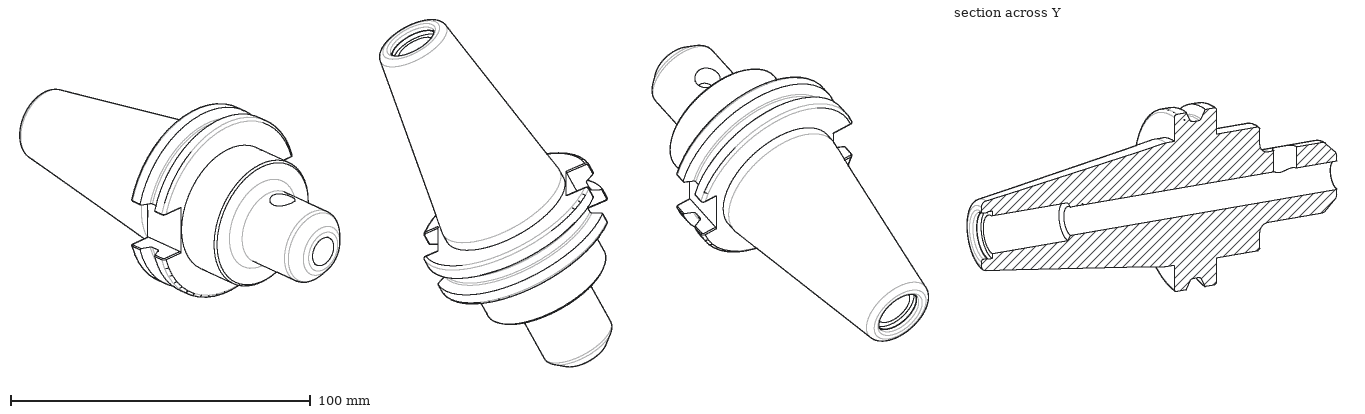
import cadquery as cq
import math

overall_length = 131.75
gauge_line_x = 68.25
flange_setback = 3.18
flange_front_x = gauge_line_x + flange_setback
flange_width = 15.8
flange_rear_x = flange_front_x + flange_width
body_reach = 35
body_end_x = gauge_line_x + body_reach

gauge_diameter = 44.45
taper_ratio = 7 / 24
small_end_diameter = gauge_diameter - gauge_line_x * taper_ratio
small_end_round = 2.0

flange_diameter = 63.5
flange_round = 1.0
groove_offset = 8.0
groove_center_x = flange_front_x + groove_offset
groove_floor_diameter = 56.3
groove_floor_width = 3.4
groove_corner_round = 0.7
groove_wall_angle = 26
slot_width = 16.3
slot_edge_chamfer = 0.42
shallow_side_floor = 25.0
deep_side_floor = 22.6

body_end_chamfer = 0.7
pilot_diameter = 25.4
pilot_root_round = 3.0
pilot_bevel = 4.8
pilot_bevel_round = 1.8
pilot_tip_round = 2.5
cross_hole_diameter = 8.38
cross_hole_setback = 19.2
cross_hole_x = overall_length - cross_hole_setback

through_bore_diameter = 10
thread_bore_diameter = 13.39
thread_bore_end = 32
counterbore_diameter = 16.3
counterbore_depth = 4
relief_diameter = 16.8
relief_start = 2.35
mouth_round = 0.85
drill_point_angle = 118


def turned(outline):
    """Revolve a closed half-profile (x, radius) about the X axis."""
    return cq.Workplane("XY").polyline(outline).close().revolve(360, (0, 0, 0), (1, 0, 0))


def rim_at(x, radius):
    """Select the circular edge at x, together with any smaller ones concentric with it."""
    margin = 0.05
    reach = radius + margin
    low_corner = (x - margin, -reach, -reach)
    high_corner = (x + margin, reach, reach)
    return cq.selectors.BoxSelector(low_corner, high_corner, boundingbox=True)


def make_shank():
    shank = turned([
        (0, 0),
        (0, small_end_diameter / 2),
        (gauge_line_x, gauge_diameter / 2),
        (flange_rear_x, gauge_diameter / 2),
        (flange_rear_x, 0),
    ])
    return shank.edges(rim_at(0, small_end_diameter / 2)).fillet(small_end_round)


def make_body_and_pilot():
    body_radius = gauge_diameter / 2
    pilot_radius = pilot_diameter / 2
    bevel_start_x = overall_length - pilot_bevel
    tip_radius = pilot_radius - pilot_bevel
    part = turned([
        (flange_rear_x, 0),
        (flange_rear_x, body_radius),
        (body_end_x - body_end_chamfer, body_radius),
        (body_end_x, body_radius - body_end_chamfer),
        (body_end_x, pilot_radius),
        (bevel_start_x, pilot_radius),
        (overall_length, tip_radius),
        (overall_length, 0),
    ])
    part = part.edges(rim_at(body_end_x, pilot_radius)).fillet(pilot_root_round)
    part = part.edges(rim_at(bevel_start_x, pilot_radius)).fillet(pilot_bevel_round)
    return part.edges(rim_at(overall_length, tip_radius)).fillet(pilot_tip_round)


def make_flange():
    rim_radius = flange_diameter / 2
    floor_radius = groove_floor_diameter / 2
    floor_half = groove_floor_width / 2
    wall_run = (rim_radius - floor_radius) * math.tan(math.radians(groove_wall_angle))
    mouth_half = floor_half + wall_run
    flange = turned([
        (flange_front_x, 0),
        (flange_front_x, rim_radius),
        (groove_center_x - mouth_half, rim_radius),
        (groove_center_x - floor_half, floor_radius),
        (groove_center_x + floor_half, floor_radius),
        (groove_center_x + mouth_half, rim_radius),
        (flange_rear_x, rim_radius),
        (flange_rear_x, 0),
    ])
    for floor_edge_x in (groove_center_x - floor_half, groove_center_x + floor_half):
        flange = flange.edges(rim_at(floor_edge_x, floor_radius)).fillet(groove_corner_round)
    for face_x in (flange_front_x, flange_rear_x):
        flange = flange.edges(rim_at(face_x, rim_radius)).fillet(flange_round)
    return flange


def cut_drive_slot(flange, side, floor):
    """Cut a drive slot on the +Y (side=1) or -Y (side=-1) flank and chamfer its wall edges.

    The chamfer follows each wall from the flange face around onto the rim.
    """
    rim_radius = flange_diameter / 2
    depth = rim_radius - floor
    wall_middle_y = side * (floor + rim_radius) / 2
    slot_center = (flange_front_x + flange_width / 2, side * (floor + depth / 2), 0)
    slot = cq.Workplane("XY", origin=slot_center).box(flange_width, depth, slot_width)
    flange = flange.cut(slot)
    for wall_z in (-slot_width / 2, slot_width / 2):
        for face_x in (flange_front_x, flange_rear_x):
            wall_edge = cq.selectors.NearestToPointSelector((face_x, wall_middle_y, wall_z))
            flange = flange.edges(wall_edge).chamfer(slot_edge_chamfer)
    return flange


def make_bore():
    drill_point_step = (thread_bore_diameter - through_bore_diameter) / 2
    drill_point_run = drill_point_step / math.tan(math.radians(drill_point_angle / 2))
    return turned([
        (0, 0),
        (0, counterbore_diameter / 2),
        (relief_start, counterbore_diameter / 2),
        (relief_start, relief_diameter / 2),
        (counterbore_depth, relief_diameter / 2),
        (counterbore_depth, thread_bore_diameter / 2),
        (thread_bore_end, thread_bore_diameter / 2),
        (thread_bore_end + drill_point_run, through_bore_diameter / 2),
        (overall_length, through_bore_diameter / 2),
        (overall_length, 0),
    ])


def make_cross_hole():
    """Radial hole from the top of the pilot down to the axial bore."""
    return (
        cq.Workplane("XY", origin=(cross_hole_x, 0, 0))
        .circle(cross_hole_diameter / 2)
        .extrude(pilot_diameter)
    )


flange = make_flange()
flange = cut_drive_slot(flange, -1, deep_side_floor)
flange = cut_drive_slot(flange, 1, shallow_side_floor)

result = make_shank().union(flange).union(make_body_and_pilot())
result = result.cut(make_bore()).cut(make_cross_hole())
result = result.edges(rim_at(0, counterbore_diameter / 2)).fillet(mouth_round)